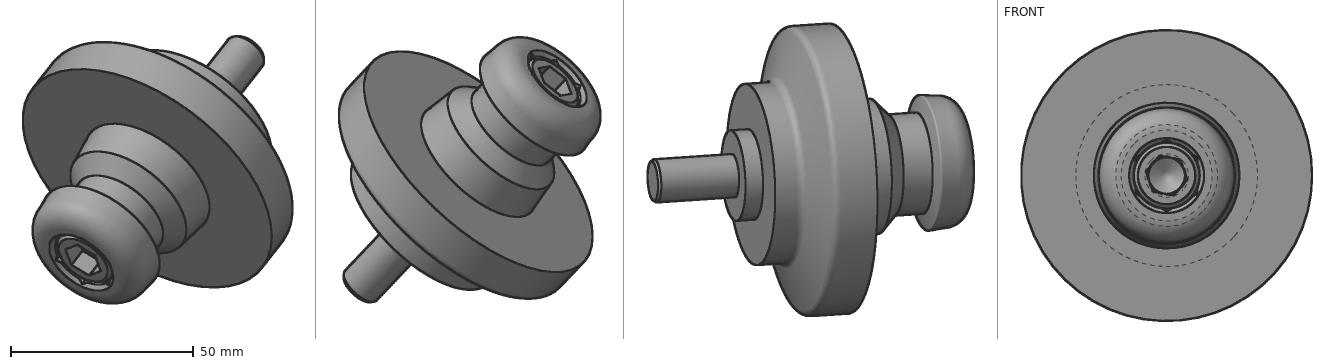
import cadquery as cq
import math

overall_length = 88.0

disc_diameter = 80.0
disc_rim_width = 12.0
disc_cone_end = 17.0
disc_depth = 25.0
hub_diameter = 50.0
disc_fillet = 2.0

bush_diameter = hub_diameter / 2
bush_length = 5.0

knob_length = 35.0
knob_base_diameter = 40.0
knob_ridge_diameter = 37.3
knob_ridge_position = 10.0
neck_diameter = 28.0
neck_start = knob_ridge_position + (knob_ridge_diameter - neck_diameter) / 2
neck_end = 23.0
bead_diameter = 37.6
bead_start = 24.2
bead_front_diameter = 35.5
bead_fillet = 6.0
bead_lip_fillet = 0.5

mouth_diameter = 20.6
head_bore_diameter = 18.2
knob_hex_across_flats = 17.0
knob_hex_depth = 5.0
knob_hex_turn = 30

shank_diameter = 12.0
head_diameter = 18.0
head_height = 12.0
head_recess = 1.0
head_chamfer = 1.1
socket_across_flats = 10.0
socket_depth = 6.0
socket_turn = -10.6
socket_cone_angle = 120
tip_chamfer_length = 0.8
tip_chamfer_width = 0.5

screw_tip = overall_length - knob_length
head_top = -knob_length + head_recess
head_seat = head_top + head_height
corners_per_flats = 2 / math.sqrt(3)


def cylinder(diameter, start, end):
    """Cylinder on the Y axis from Y = start to Y = end (start < end)."""
    return cq.Workplane("XZ", origin=(0, end, 0)).circle(diameter / 2).extrude(end - start)


def hex_prism(across_flats, turn, start, end):
    """Hexagonal prism on the Y axis; a turn of 0 puts a corner on +X."""
    across_corners = across_flats * corners_per_flats
    prism = cq.Workplane("XZ", origin=(0, end, 0)).polygon(6, across_corners).extrude(end - start)
    return prism.rotate((0, 0, 0), (0, -1, 0), turn)


def revolve_profile(points):
    """Solid of revolution about Y from (radius, Y) points."""
    return cq.Workplane("XY").polyline(points).close().revolve(360, (0, 0, 0), (0, 1, 0))


def edges_at(radius, y):
    """Selector box enclosing the circular edge of this radius at this Y."""
    tolerance = 0.04
    size = radius + tolerance
    return cq.selectors.BoxSelector(
        (-size, y - tolerance, -size), (size, y + tolerance, size), boundingbox=True
    )


def make_disc():
    rim_radius = disc_diameter / 2
    hub_radius = hub_diameter / 2
    disc = revolve_profile([
        (0, 0),
        (rim_radius, 0),
        (rim_radius, disc_rim_width),
        (hub_radius, disc_cone_end),
        (hub_radius, disc_depth),
        (0, disc_depth),
    ])
    disc = disc.edges(edges_at(rim_radius, disc_rim_width)).fillet(disc_fillet)
    disc = disc.edges(edges_at(hub_radius, disc_cone_end)).fillet(disc_fillet)
    return disc.cut(cylinder(shank_diameter, 0, disc_depth))


def make_bush():
    bush_end = disc_depth + bush_length
    bush = cylinder(bush_diameter, disc_depth, bush_end)
    return bush.cut(cylinder(shank_diameter, disc_depth, bush_end))


def make_knob():
    bead_radius = bead_diameter / 2
    bead_front_radius = bead_front_diameter / 2
    knob = revolve_profile([
        (0, 0),
        (knob_base_diameter / 2, 0),
        (knob_ridge_diameter / 2, -knob_ridge_position),
        (neck_diameter / 2, -neck_start),
        (neck_diameter / 2, -neck_end),
        (bead_radius, -bead_start),
        (bead_front_radius, -knob_length),
        (0, -knob_length),
    ])
    knob = knob.edges(edges_at(bead_front_radius, -knob_length)).fillet(bead_fillet)
    knob = knob.edges(edges_at(bead_radius, -bead_start)).fillet(bead_lip_fillet)

    mouth_depth = (mouth_diameter - head_bore_diameter) / 2
    mouth = revolve_profile([
        (0, -knob_length),
        (mouth_diameter / 2, -knob_length),
        (head_bore_diameter / 2, -knob_length + mouth_depth),
        (0, -knob_length + mouth_depth),
    ])
    knob = knob.cut(mouth)
    hex_end = -knob_length + knob_hex_depth
    knob = knob.cut(hex_prism(knob_hex_across_flats, knob_hex_turn, -knob_length, hex_end))
    knob = knob.cut(cylinder(head_bore_diameter, -knob_length, head_seat))
    return knob.cut(cylinder(shank_diameter, head_seat, 0))


def make_screw():
    shank_radius = shank_diameter / 2
    head_radius = head_diameter / 2
    screw = revolve_profile([
        (0, head_top),
        (head_radius - head_chamfer, head_top),
        (head_radius, head_top + head_chamfer),
        (head_radius, head_seat),
        (shank_radius, head_seat),
        (shank_radius, screw_tip - tip_chamfer_length),
        (shank_radius - tip_chamfer_width, screw_tip),
        (0, screw_tip),
    ])

    socket_end = head_top + socket_depth
    cone_radius = socket_across_flats / 2
    cone_tip = socket_end + cone_radius / math.tan(math.radians(socket_cone_angle / 2))
    cone = revolve_profile([(0, socket_end), (cone_radius, socket_end), (0, cone_tip)])
    screw = screw.cut(hex_prism(socket_across_flats, socket_turn, head_top, socket_end))
    return screw.cut(cone)


disc = make_disc()
bush = make_bush()
knob = make_knob()
screw = make_screw()

result = cq.Compound.makeCompound([disc.val(), bush.val(), knob.val(), screw.val()])